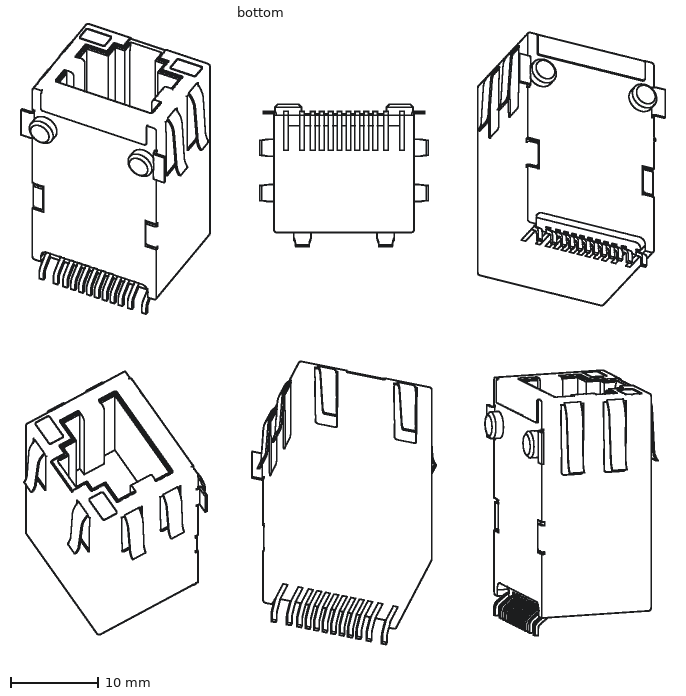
import cadquery as cq
import math

overall_width, overall_depth, overall_height = 19.3, 16.31, 27.5
spring_reach = 1.62
body_width = overall_width - 2 * spring_reach
body_depth = 13.42
body_height = 25.33
edge_radius = 0.36
sheet = 0.2
half_width = body_width / 2

opening_steps = [(5.94, 9.46), (3.19, 11.2), (1.97, 12.42)]
opening_front = 2.58
opening_depth = 13.0
sheet_margin = 0.34
sheet_corner = 0.25
lead_in = 0.15
rib_front, rib_rear = 4.56, 7.27
rib_half_gap = 5.04
rib_round = 0.55
rear_notch_half_width = 2.3
rear_slope_run, rear_slope_drop = 0.3, 1.3
rear_lip = 0.12

led_length, led_width = 3.27, 1.9
led_x, led_y = 5.87, 11.44
led_depth = 0.1
led_corner = 0.2

flap_width, flap_height = 13.6, 2.76
flap_corner = 0.25

peg_x, peg_z = 6.38, 20.03
peg_radius, peg_chamfer = 1.54, 0.35
peg_length = overall_depth - body_depth - spring_reach
tab_height, tab_half_span = 3.68, 9.25
tab_offset, tab_thickness = 0.19, 0.26
tab_relief_height, tab_relief_depth = 3.98, 0.2

latch_width, latch_height, latch_z, latch_depth = 1.47, 3.78, 9.35, 0.33
latch_plate_height, latch_plate_z = 3.07, 9.26
latch_plate_gap = 0.1
latch_plate_corner = 0.3
latch_bend_clearance = 0.02

side_spring_centres = [3.72, 8.9]
rear_spring_x = 4.76
side_spring_widths = (1.98, 1.76)
rear_spring_widths = (2.04, 1.57)
spring_top_z, spring_tip_z = 25.08, 17.0
spring_bow_z, spring_knee_z = 23.05, 18.2
spring_lean = math.radians(3.6)
spring_root_radius, spring_root_turn = 2.8, math.radians(50)
spring_foot_radius, spring_foot_turn = 2.3, math.radians(40)
window_top_z, window_bottom_z = 24.7, 16.53
window_top_width, window_bottom_width = 2.78, 2.6
window_corner = 0.35

pin_offsets = [0.51, 1.53, 2.55, 3.57, 4.8, 6.63]
pin_width, pin_thickness = 0.55, 0.42
pin_front, pin_tip_z = -0.43, body_height - overall_height
pin_bend_z = -1.33
pin_bend_radius, pin_shoulder_radius = 1.0, 1.5
pin_slant = math.radians(38)
pin_shelf_top = 0.41
pin_root_y = 4.0
pin_notch_half_width, pin_notch_height, pin_notch_depth = 6.9, 1.65, 1.2
pin_notch_corner = 0.75
pin_slot_height, pin_slot_depth = 0.72, 0.3


def block(x0, x1, y0, y1, z0, z1):
    """Axis-aligned box between opposite corners."""
    return cq.Workplane("XY").box(x1 - x0, y1 - y0, z1 - z0, centered=False).translate((x0, y0, z0))


def both_sides(shape):
    """The shape together with its mirror image across the middle plane x = 0."""
    return shape.union(shape.mirror("YZ"))


def make_body():
    body = block(-half_width, half_width, 0, body_depth, 0, body_height)
    return body.edges("not <Y").fillet(edge_radius)


def opening_outline(margin):
    """Stepped plug outline, enlarged by a margin all round."""
    right = [(opening_steps[0][0] + margin, opening_front - margin)]
    for index, (half, rear) in enumerate(opening_steps):
        right.append((half + margin, rear + margin))
        if index + 1 < len(opening_steps):
            right.append((opening_steps[index + 1][0] + margin, rear + margin))
    left = [(-x, y) for x, y in reversed(right)]
    return right + left


def stepped_prism(margin, bottom_z, height):
    """Prism of the enlarged plug outline."""
    return (
        cq.Workplane("XY").workplane(offset=bottom_z)
        .polyline(opening_outline(margin)).close().extrude(height)
    )


def make_opening():
    """Plug pocket with its lead-in, under a larger opening in the sheet; the ribs stay standing."""
    ledge_z = body_height - sheet
    pocket = stepped_prism(0, body_height - opening_depth, opening_depth)
    sheet_opening = stepped_prism(sheet_margin, ledge_z, sheet)
    sheet_opening = sheet_opening.edges("|Z and <Y").fillet(sheet_corner)
    flare = (
        cq.Workplane("XY").workplane(offset=ledge_z - lead_in)
        .polyline(opening_outline(0)).close()
        .workplane(offset=lead_in)
        .polyline(opening_outline(lead_in)).close()
        .loft(ruled=True)
    )
    rib = block(rib_half_gap, half_width, rib_front, rib_rear, 0, body_height)
    rib = rib.edges("<X and >Z").fillet(rib_round)
    return pocket.union(sheet_opening).union(flare).cut(both_sides(rib))


def make_rear_notch():
    """Gap in the sheet behind the narrowest step, with a steep lead-in below it."""
    step_half_width, step_rear = opening_steps[-1]
    ledge_z = body_height - sheet
    top_gap = block(
        -rear_notch_half_width, rear_notch_half_width, step_rear, body_depth, ledge_z, body_height,
    )
    rear_gap = block(
        -rear_notch_half_width, rear_notch_half_width,
        body_depth - rear_lip, body_depth, body_height - edge_radius, body_height,
    )
    slope = (
        cq.Workplane("YZ").workplane(offset=-step_half_width)
        .moveTo(step_rear, ledge_z)
        .lineTo(step_rear + rear_slope_run, ledge_z)
        .lineTo(step_rear, ledge_z - rear_slope_drop)
        .close().extrude(2 * step_half_width)
    )
    return top_gap.union(rear_gap).union(slope)


def make_led_windows():
    window = block(-led_length / 2, led_length / 2, -led_width / 2, led_width / 2, 0, led_depth)
    window = window.edges("|Z").fillet(led_corner)
    return both_sides(window.translate((led_x, led_y, body_height - led_depth)))


def make_flap_seat():
    """Front top edge that gives way to the rounded bend of the flap."""
    return block(
        -flap_width / 2, flap_width / 2, 0, edge_radius, body_height - edge_radius, body_height,
    )


def make_flap():
    flap = block(
        -flap_width / 2, flap_width / 2, -sheet, edge_radius, body_height - flap_height, body_height,
    )
    flap = flap.edges("|Y and <Z").fillet(flap_corner)
    return flap.edges("<Y and >Z").fillet(edge_radius)


def make_pegs():
    peg = cq.Workplane("XZ").circle(peg_radius).extrude(peg_length)
    peg = peg.faces("<Y").chamfer(peg_chamfer)
    return both_sides(peg.translate((peg_x, 0, peg_z)))


def make_tab_reliefs():
    """Shallow slots in the front edges that free the tabs above and below."""
    inner = half_width - tab_thickness
    relief = block(
        inner, half_width, 0, tab_relief_depth,
        peg_z - tab_relief_height / 2, peg_z + tab_relief_height / 2,
    )
    return both_sides(relief)


def make_tabs():
    """Side sheet continued past the front face and bent outward."""
    front = -tab_offset - tab_thickness
    diagonal = tab_thickness * math.sqrt(0.5)
    tab = (
        cq.Workplane("XY").workplane(offset=peg_z - tab_height / 2)
        .moveTo(half_width, tab_relief_depth)
        .lineTo(half_width, -tab_offset)
        .lineTo(tab_half_span, -tab_offset)
        .lineTo(tab_half_span, front)
        .lineTo(half_width, front)
        .threePointArc(
            (half_width - diagonal, -tab_offset - diagonal), (half_width - tab_thickness, -tab_offset),
        )
        .lineTo(half_width - tab_thickness, tab_relief_depth)
        .close().extrude(tab_height)
    )
    return both_sides(tab)


def make_latch_windows():
    bottom, top = latch_z - latch_height / 2, latch_z + latch_height / 2
    window = block(half_width - latch_width, half_width, 0, latch_depth, bottom, top)
    plate = block(
        half_width - latch_width + latch_plate_gap, half_width, 0, latch_depth,
        latch_plate_z - latch_plate_height / 2, latch_plate_z + latch_plate_height / 2,
    )
    plate = plate.edges("|Y and <X and <Z").fillet(latch_plate_corner)
    plate = plate.edges("|Z and >X and <Y").fillet(latch_depth - latch_bend_clearance)
    return both_sides(window.cut(plate))


def tapered_outline(top_z, top_width, bottom_z, bottom_width):
    """Symmetric trapezoid prism, wide enough in y to cover a spring's reach on both sides of y = 0."""
    half_length = 2 * spring_reach
    return (
        cq.Workplane("XZ").workplane(offset=-half_length)
        .polyline([
            (-top_width / 2, top_z), (top_width / 2, top_z),
            (bottom_width / 2, bottom_z), (-bottom_width / 2, bottom_z),
        ])
        .close().extrude(2 * half_length)
    )


def polar(centre, radius, angle):
    """Point at a radius and angle from a centre."""
    return (centre[0] + radius * math.cos(angle), centre[1] + radius * math.sin(angle))


def make_spring(top_width, tip_width):
    """Spring bowed out of a wall at y = 0 toward +y, centred on x = 0."""
    half = sheet / 2
    foot_z = spring_knee_z + spring_foot_radius * math.sin(spring_lean)
    foot_y = spring_reach + math.sqrt((spring_foot_radius - half) ** 2 - (foot_z - spring_tip_z) ** 2)
    foot = (foot_y, foot_z)
    knee_y = foot_y - spring_foot_radius * math.cos(spring_lean)
    bow = (knee_y - (spring_bow_z - spring_knee_z) * math.tan(spring_lean), spring_bow_z)
    root = polar(bow, -spring_root_radius, spring_lean)

    root_end = spring_lean + spring_root_turn
    root_middle = spring_lean + spring_root_turn / 2
    foot_start = spring_lean + math.pi
    foot_middle = foot_start + spring_foot_turn / 2
    foot_end = foot_start + spring_foot_turn
    root_out, root_in = spring_root_radius + half, spring_root_radius - half
    foot_out, foot_in = spring_foot_radius - half, spring_foot_radius + half
    strip = (
        cq.Workplane("YZ").workplane(offset=-top_width)
        .moveTo(*polar(root, root_out, root_end))
        .threePointArc(polar(root, root_out, root_middle), polar(root, root_out, spring_lean))
        .lineTo(*polar(foot, foot_out, foot_start))
        .threePointArc(polar(foot, foot_out, foot_middle), polar(foot, foot_out, foot_end))
        .lineTo(*polar(foot, foot_in, foot_end))
        .threePointArc(polar(foot, foot_in, foot_middle), polar(foot, foot_in, foot_start))
        .lineTo(*polar(root, root_in, spring_lean))
        .threePointArc(polar(root, root_in, root_middle), polar(root, root_in, root_end))
        .close().extrude(2 * top_width)
    )
    return strip.intersect(tapered_outline(spring_top_z, top_width, spring_tip_z, tip_width))


def make_spring_window():
    """Recess, one sheet deep, in a wall at y = 0."""
    window = tapered_outline(window_top_z, window_top_width, window_bottom_z, window_bottom_width)
    window = window.edges("|Y and <Z").fillet(window_corner)
    return window.intersect(block(-half_width, half_width, -sheet, sheet, 0, body_height))


def place_on_walls(rear_shape, side_shape):
    """Copies of rear-facing shapes, one kind on the rear wall and one kind on both side walls."""
    placed = rear_shape.translate((rear_spring_x, body_depth, 0))
    turned = side_shape.rotate((0, 0, 0), (0, 0, 1), -90)
    for centre in side_spring_centres:
        placed = placed.union(turned.translate((half_width, centre, 0)))
    return both_sides(placed)


def make_pin_notch():
    notch = block(
        -pin_notch_half_width, pin_notch_half_width, 0, pin_notch_depth,
        -pin_notch_height, pin_notch_height,
    )
    return notch.edges("|Y and >Z").fillet(pin_notch_corner)


def make_pin():
    """Contact that leaves the body level, slopes down and ends upright, centred on x = 0."""
    upright, sloped, level = math.pi, math.pi / 2 + pin_slant, math.pi / 2
    bend_middle, shoulder_middle = (upright + sloped) / 2, (sloped + level) / 2
    bend = (pin_front + pin_bend_radius, pin_bend_z)
    bend_inner = pin_bend_radius - pin_thickness
    shoulder_inner = pin_shoulder_radius - pin_thickness

    slope_y, slope_z = polar(bend, pin_bend_radius, sloped)
    shoulder_z = pin_shelf_top - pin_shoulder_radius
    shoulder_start_z = shoulder_z + pin_shoulder_radius * math.sin(sloped)
    shoulder_start_y = slope_y + (shoulder_start_z - slope_z) / math.tan(pin_slant)
    shoulder = (shoulder_start_y - pin_shoulder_radius * math.cos(sloped), shoulder_z)

    return (
        cq.Workplane("YZ").workplane(offset=-pin_width / 2)
        .moveTo(pin_front, pin_tip_z)
        .lineTo(*polar(bend, pin_bend_radius, upright))
        .threePointArc(polar(bend, pin_bend_radius, bend_middle), polar(bend, pin_bend_radius, sloped))
        .lineTo(*polar(shoulder, pin_shoulder_radius, sloped))
        .threePointArc(
            polar(shoulder, pin_shoulder_radius, shoulder_middle),
            polar(shoulder, pin_shoulder_radius, level),
        )
        .lineTo(pin_root_y, pin_shelf_top)
        .lineTo(pin_root_y, pin_shelf_top - pin_thickness)
        .lineTo(*polar(shoulder, shoulder_inner, level))
        .threePointArc(
            polar(shoulder, shoulder_inner, shoulder_middle), polar(shoulder, shoulder_inner, sloped),
        )
        .lineTo(*polar(bend, bend_inner, sloped))
        .threePointArc(polar(bend, bend_inner, bend_middle), polar(bend, bend_inner, upright))
        .lineTo(pin_front + pin_thickness, pin_tip_z)
        .close().extrude(pin_width)
    )


def repeat_at_pins(shape):
    """Copies of a shape at every contact position."""
    row = cq.Workplane("XY")
    for offset in pin_offsets:
        row = row.union(both_sides(shape.translate((offset, 0, 0))))
    return row


def make_pin_slot():
    """Slot above a contact in the rear wall of the notch."""
    return block(
        -pin_width / 2, pin_width / 2, 0, pin_notch_depth + pin_slot_depth, 0, pin_slot_height,
    )


result = (
    make_body()
    .cut(make_flap_seat())
    .union(make_flap())
    .cut(make_opening())
    .cut(make_rear_notch())
    .cut(make_led_windows())
    .cut(make_latch_windows())
    .cut(place_on_walls(make_spring_window(), make_spring_window()))
    .cut(make_pin_notch())
    .cut(repeat_at_pins(make_pin_slot()))
    .union(place_on_walls(make_spring(*rear_spring_widths), make_spring(*side_spring_widths)))
    .union(make_pegs())
    .cut(make_tab_reliefs())
    .union(make_tabs())
    .union(repeat_at_pins(make_pin()))
)